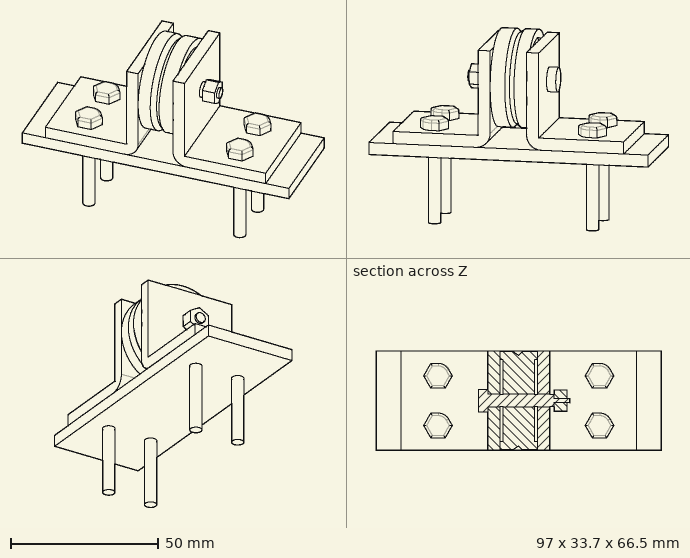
import cadquery as cq
import math

plate_length = 96.95
stock_width = 33.7
stock_thickness = stock_width / 8

bracket_leg = stock_width
bracket_gap = 3 * stock_thickness
bracket_top_z = 2 * stock_thickness
bracket_outer_x = bracket_gap / 2 + stock_thickness
bend_radius = 5.0

wheel_radius = stock_width / 2
wheel_width = bracket_gap
axle_z = bracket_top_z + wheel_radius
groove_depth = 1.3
groove_left = 1.9
groove_right = 1.3
groove_root_x = -0.1
recess_radius = 14.0
recess_depth = 1.0

pin_head_radius = stock_thickness
pin_head_height = 3.2
pin_shank_radius = 2.7
pin_end_radius = 1.8
pin_shoulder = 1.5
pin_tip = 0.9

nut_corner_diameter = 2 * stock_thickness
nut_thickness = 4.5

bolt_x = 27.4
bolt_y = stock_width / 4
bolt_radius = stock_thickness / 2
bolt_below_plate = 24.4
bolt_head_flats = 2 * stock_thickness
bolt_head_corners = bolt_head_flats / math.cos(math.pi / 6)
bolt_head_height = 3.5
bolt_corner_radius = 4.0
bolt_top_fillet = 0.9

bolt_points = [(sx * bolt_x, sy * bolt_y) for sx in (-1, 1) for sy in (-1, 1)]


def rod_along_x(radius, x_start, x_end):
    """Cylinder on the axle line from x_start to x_end."""
    return (
        cq.Workplane("YZ", origin=(x_start, 0, axle_z))
        .circle(radius)
        .extrude(x_end - x_start)
    )


def bolt_hole_cutters():
    """Plain rods that clear the bolt shanks through bracket and base plate."""
    return (
        cq.Workplane("XY")
        .pushPoints(bolt_points)
        .circle(bolt_radius)
        .extrude(bracket_top_z)
    )


def make_base_plate():
    plate = cq.Workplane("XY").box(
        plate_length, stock_width, stock_thickness, centered=(True, True, False)
    )
    return plate.cut(bolt_hole_cutters())


def make_bracket(side):
    """Angle bracket on the +X (side = 1) or -X (side = -1) side of the wheel."""
    inner_x = side * bracket_gap / 2
    end_x = inner_x + side * bracket_leg
    web_x = side * bracket_outer_x
    bend_offset = bend_radius * (1 - math.sqrt(0.5))
    bend_middle = (inner_x + side * bend_offset, stock_thickness + bend_offset)
    profile = (
        cq.Workplane("XZ", origin=(0, stock_width / 2, 0))
        .moveTo(end_x, stock_thickness)
        .lineTo(inner_x + side * bend_radius, stock_thickness)
        .threePointArc(bend_middle, (inner_x, stock_thickness + bend_radius))
        .lineTo(inner_x, stock_thickness + bracket_leg)
        .lineTo(web_x, stock_thickness + bracket_leg)
        .lineTo(web_x, bracket_top_z)
        .lineTo(end_x, bracket_top_z)
        .close()
    )
    bracket = profile.extrude(stock_width)
    pin_hole = rod_along_x(pin_shank_radius, -bracket_outer_x, bracket_outer_x)
    return bracket.cut(bolt_hole_cutters()).cut(pin_hole)


def make_wheel():
    half_width = wheel_width / 2
    recess_floor = half_width - recess_depth
    section = [
        (-recess_floor, pin_shank_radius),
        (-recess_floor, recess_radius),
        (-half_width, recess_radius),
        (-half_width, wheel_radius),
        (-groove_left, wheel_radius),
        (groove_root_x, wheel_radius - groove_depth),
        (groove_right, wheel_radius),
        (half_width, wheel_radius),
        (half_width, recess_radius),
        (recess_floor, recess_radius),
        (recess_floor, pin_shank_radius),
    ]
    return (
        cq.Workplane("XZ", origin=(0, 0, axle_z))
        .polyline(section)
        .close()
        .revolve(360, (0, 0, 0), (1, 0, 0))
    )


def make_pin():
    shoulder_x = bracket_outer_x + pin_shoulder
    end_x = shoulder_x + nut_thickness + pin_tip
    head = rod_along_x(pin_head_radius, -bracket_outer_x - pin_head_height, -bracket_outer_x)
    shank = rod_along_x(pin_shank_radius, -bracket_outer_x, shoulder_x)
    nut_end = rod_along_x(pin_end_radius, shoulder_x, end_x)
    return head.union(shank).union(nut_end)


def make_nut():
    """Hexagonal nut with two corners pointing up and down, seated on the pin shoulder."""
    return (
        cq.Workplane("YZ", origin=(bracket_outer_x + pin_shoulder, 0, axle_z))
        .transformed(rotate=(0, 0, 90))
        .polygon(6, nut_corner_diameter)
        .circle(pin_end_radius)
        .extrude(nut_thickness)
    )


def make_bolt(x, y):
    """Hex bolt with one rounded corner on its head and a rounded top rim."""
    head = (
        cq.Workplane("XY", origin=(0, 0, bracket_top_z))
        .polygon(6, bolt_head_corners)
        .extrude(bolt_head_height)
    )
    rounded_corner = cq.NearestToPointSelector(
        (bolt_head_corners / 4, bolt_head_flats / 2, bracket_top_z + bolt_head_height / 2)
    )
    head = head.edges("|Z").edges(rounded_corner).fillet(bolt_corner_radius)
    head = head.faces(">Z").edges().fillet(bolt_top_fillet)
    shank = (
        cq.Workplane("XY", origin=(0, 0, -bolt_below_plate))
        .circle(bolt_radius)
        .extrude(bolt_below_plate + bracket_top_z)
    )
    return head.union(shank).translate((x, y, 0))


base_plate = make_base_plate()
brackets = [make_bracket(side) for side in (-1, 1)]
wheel = make_wheel()
pin = make_pin()
nut = make_nut()
bolts = [make_bolt(x, y) for x, y in bolt_points]

result = cq.Compound.makeCompound([
    base_plate.val(),
    *[bracket.val() for bracket in brackets],
    wheel.val(),
    pin.val(),
    nut.val(),
    *[bolt.val() for bolt in bolts],
])